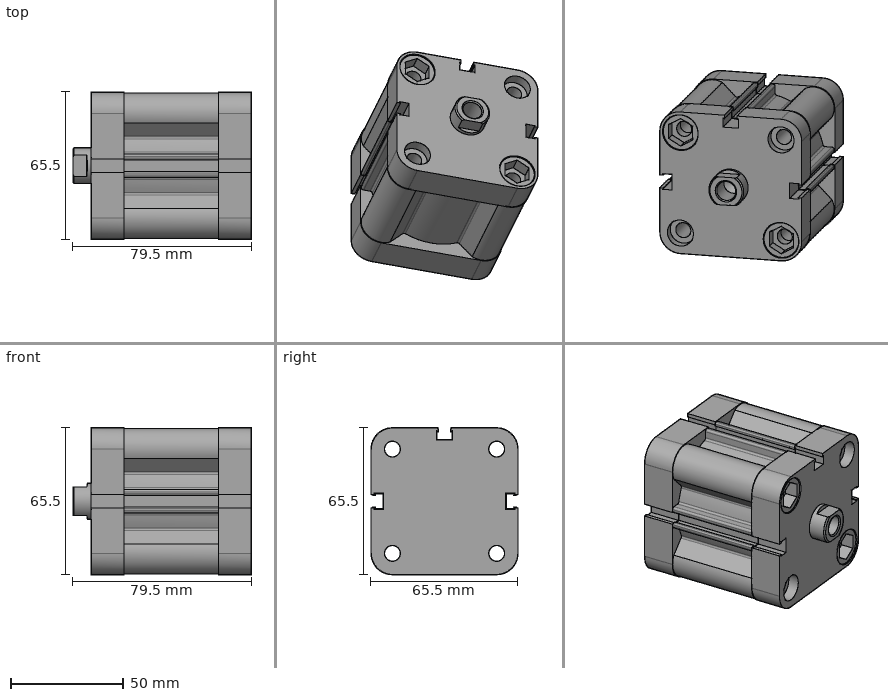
import cadquery as cq
import math


total_length = 79.5
rod_protrusion = 8.2
cap_length = 14.7
housing_length = total_length - rod_protrusion
barrel_length = housing_length - 2 * cap_length

cap_side = 65.5
cap_half = cap_side / 2
barrel_setback = 0.3
barrel_half = cap_half - barrel_setback
hole_offset = 23.2
cap_corner_radius = cap_half - hole_offset
lobe_radius = barrel_half - hole_offset
lobe_half_width = 8.75
lobe_angles = (45, 135, 225, 315)
core_radius = 28.0
rail_half_width = 5.25
profile_fillet = 1.0
match_tolerance = 0.01

slot_mouth_half = 2.6
slot_inner_half = 3.25
slot_floor = 27.5
slot_lip_tip = 30.8
slot_lip_root = 31.1
slot_mouth_round = 0.7
slot_clearance = barrel_setback
slot_angles = (-90, 0, 90)

through_diameter = 6.9
counterbore_diameter = 12.0
counterbore_depth = 5.0

screw_diameter = 16.0
screw_recess = 0.5
screw_pocket_depth = 12.7
screw_length = screw_pocket_depth - screw_recess
screw_pocket_diameter = 16.45
hex_across_flats = 11.05
hex_depth = 6.0

rod_diameter = 16.05
rod_length = rod_protrusion + cap_length
rod_tip_chamfer = 0.6
flat_half_width = 6.4
flat_length = 6.2
flat_end_run = 0.3
rod_bore_diameter = 8.75
rod_bore_depth = 12.7
rod_bore_chamfer = 0.55
drill_point_angle = 118.0

screw_corners = [(hole_offset, hole_offset), (-hole_offset, -hole_offset)]
plain_corners = [(-hole_offset, hole_offset), (hole_offset, -hole_offset)]


def turn(shape, angle):
    """Rotate a shape about the cylinder axis."""
    return shape.rotate((0, 0, 0), (1, 0, 0), angle)


def bars(corners, diameter, length, start=0):
    """Round bars along X at the given corners, starting at X = start."""
    return cq.Workplane("YZ", origin=(start, 0, 0)).pushPoints(corners).circle(diameter / 2).extrude(length)


def slot_cutter(clearance, start, length):
    """T-shaped slot with hooked lips, opening towards +Z."""
    mouth = slot_mouth_half + clearance
    inner = slot_inner_half + clearance
    tip = slot_lip_tip + clearance
    root = slot_lip_root + clearance
    floor = slot_floor - clearance
    return (
        cq.Workplane("YZ", origin=(start, 0, 0))
        .polyline([
            (-mouth, cap_side), (-mouth, tip), (-inner, root), (-inner, floor),
            (inner, floor), (inner, root), (mouth, tip), (mouth, cap_side),
        ])
        .close()
        .extrude(length)
    )


def cap(start):
    """Square end cap with rounded corners and slots on three sides."""
    body = (
        cq.Workplane("YZ", origin=(start, 0, 0))
        .rect(cap_side, cap_side)
        .extrude(cap_length)
        .edges("|X")
        .fillet(cap_corner_radius)
    )
    for angle in slot_angles:
        body = body.cut(turn(slot_cutter(slot_clearance, start, cap_length), angle))
    return body


def lobe(angle):
    """Straight-sided corner lobe with a round end, running out from the axis."""
    centre = hole_offset * math.sqrt(2)
    arc_start = centre + math.sqrt(lobe_radius**2 - lobe_half_width**2)
    body = (
        cq.Workplane("YZ", origin=(cap_length, 0, 0))
        .moveTo(-lobe_half_width, 0)
        .lineTo(-lobe_half_width, arc_start)
        .threePointArc((0, centre + lobe_radius), (lobe_half_width, arc_start))
        .lineTo(lobe_half_width, 0)
        .close()
        .extrude(barrel_length)
    )
    return turn(body, angle)


def rail(angle):
    """Raised rail along the middle of one barrel side, with rounded outer edges."""
    body = (
        cq.Workplane("YZ", origin=(cap_length, 0, 0))
        .center(0, barrel_half / 2)
        .rect(2 * rail_half_width, barrel_half)
        .extrude(barrel_length)
        .edges("|X and >Z")
        .fillet(profile_fillet)
    )
    return turn(body, angle)


def barrel_slot(angle):
    """Barrel slot cutter whose mouth flares out with a round on each edge."""
    mouth_top = slot_mouth_half + slot_mouth_round
    round_start = barrel_half - slot_mouth_round
    flare = (
        cq.Workplane("YZ", origin=(cap_length, 0, 0))
        .moveTo(-mouth_top, barrel_half)
        .radiusArc((-slot_mouth_half, round_start), slot_mouth_round)
        .lineTo(slot_mouth_half, round_start)
        .radiusArc((mouth_top, barrel_half), slot_mouth_round)
        .close()
        .extrude(barrel_length)
    )
    return turn(slot_cutter(0, cap_length, barrel_length).union(flare), angle)


def on_core_surface(edge):
    """True for the inner corners where lobes and rails leave the round wall."""
    centre = edge.Center()
    return abs(math.hypot(centre.y, centre.z) - core_radius) < match_tolerance


def barrel():
    """Round wall with four lobes and three slotted rails."""
    body = cq.Workplane("YZ", origin=(cap_length, 0, 0)).circle(core_radius).extrude(barrel_length)
    for angle in lobe_angles:
        body = body.union(lobe(angle))
    for angle in slot_angles:
        body = body.union(rail(angle))
    body = body.edges("|X").filter(on_core_surface).fillet(profile_fillet)
    for angle in slot_angles:
        body = body.cut(barrel_slot(angle))
    return body


def make_housing():
    """Caps and barrel in one, with the rod hole, corner holes and screw pockets."""
    body = cap(0).union(barrel()).union(cap(cap_length + barrel_length))
    body = body.cut(bars([(0, 0)], rod_diameter, cap_length))
    body = body.cut(bars(screw_corners + plain_corners, through_diameter, housing_length))
    body = body.cut(bars(plain_corners, counterbore_diameter, counterbore_depth))
    return body.cut(bars(screw_corners, screw_pocket_diameter, screw_pocket_depth))


def make_screw(corner):
    """Round collar screw with a hexagon socket and a through hole."""
    y, z = corner
    hexagon = (
        cq.Workplane("YZ", origin=(screw_recess, y, z))
        .transformed(rotate=(0, 0, 90))
        .polygon(6, hex_across_flats / math.cos(math.pi / 6))
        .extrude(hex_depth)
    )
    return (
        bars([corner], screw_diameter, screw_length, screw_recess)
        .cut(hexagon)
        .cut(bars([corner], through_diameter, screw_length, screw_recess))
    )


def rod_bore():
    """Blind drilled hole with a countersunk mouth, starting at the rod tip."""
    radius = rod_bore_diameter / 2
    mouth_radius = radius + rod_bore_chamfer
    bore_end = -rod_protrusion + rod_bore_depth
    point_length = radius / math.tan(math.radians(drill_point_angle / 2))
    return (
        cq.Workplane("XY")
        .polyline([
            (-rod_protrusion, 0),
            (-rod_protrusion, mouth_radius),
            (-rod_protrusion + rod_bore_chamfer, radius),
            (bore_end, radius),
            (bore_end + point_length, 0),
        ])
        .close()
        .revolve(360, (0, 0, 0), (1, 0, 0))
    )


def wrench_flat():
    """Cutter for the upper wrench flat, its end face leaning towards the cap."""
    rod_radius = rod_diameter / 2
    flat_end = -rod_protrusion + flat_length
    return (
        cq.Workplane("XZ")
        .polyline([
            (-rod_protrusion, flat_half_width),
            (flat_end, flat_half_width),
            (flat_end + flat_end_run, rod_radius),
            (-rod_protrusion, rod_radius),
        ])
        .close()
        .extrude(rod_radius, both=True)
    )


def make_rod():
    """Piston rod with a chamfered tip, two wrench flats and a bore."""
    body = (
        cq.Workplane("YZ", origin=(-rod_protrusion, 0, 0))
        .circle(rod_diameter / 2)
        .extrude(rod_length)
        .faces("<X")
        .chamfer(rod_tip_chamfer)
    )
    for angle in (0, 180):
        body = body.cut(turn(wrench_flat(), angle))
    return body.cut(rod_bore())


housing = make_housing()
piston_rod = make_rod()
screws = [make_screw(corner) for corner in screw_corners]

result = cq.Compound.makeCompound([
    housing.val(),
    piston_rod.val(),
    *[screw.val() for screw in screws],
])